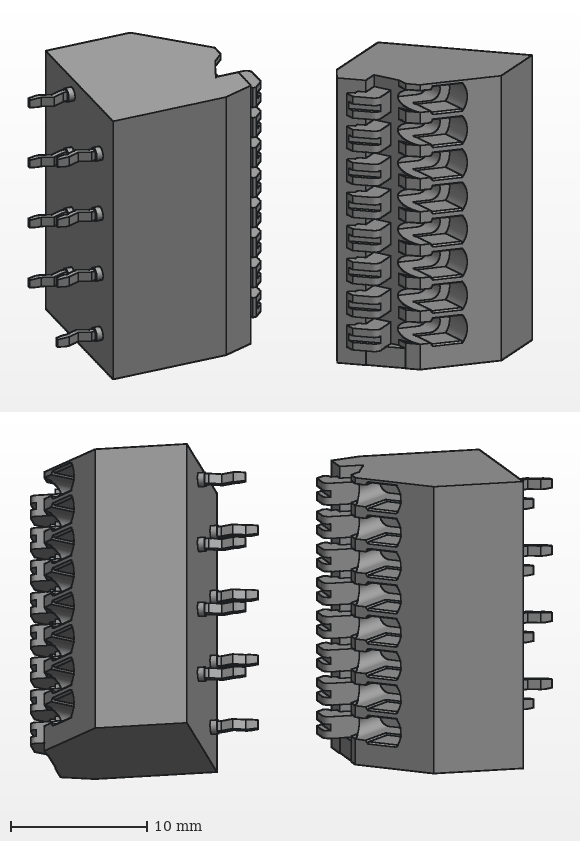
import cadquery as cq
import math

width = 12.0
height = 21.5
housing_depth = 11.5
slope_start = 6.84
slope_run = housing_depth - slope_start
back_chamfer_x = 0.88
back_chamfer_y = 2.4

pole_count = 8
end_wall = 1.5
pole_pitch = (height - end_wall) / pole_count
pole_center_drop = 1.27

channel_kink_x = 6.6
channel_kink_y = 10.66
channel_wall_x = 8.88
channel_floor_y = 9.7
channel_start_x = channel_kink_x - (housing_depth - channel_kink_y)
channel_floor_slope = (channel_kink_y - channel_floor_y) / (channel_wall_x - channel_kink_x)
end_wall_relief = 0.06

lever_front_x = 7.33
lever_back_x = 9.52
lever_top_y = 13.12
lever_thickness = 1.63
lever_drop = 0.88
lever_round = 0.5
hook_start_x = 9.33
hook_tip_x = 10.02
hook_tip_y = 12.43
hook_tip_height = 0.28
hook_root_y = 11.95
tip_slot_width = 0.5
tip_slot_depth = 0.5

entry_slot_radius = 0.82
entry_slot_depth = 5.15
entry_bore_radius = 1.6
entry_bore_depth = 3.0
entry_bore_y = 9.91
entry_bore_half_width = 0.97
entry_mouth_half_width = 1.08
entry_mouth_depth = 0.28

overall_depth = 16.6
pin_x = (4.73, 9.72)
collar_radius = 0.52
collar_height = 0.5
pin_thickness = 0.43
pin_breadth = 0.75
pin_bend_start = 0.8
pin_bend_peak = 1.7
pin_bend_end = 2.6
pin_bend_shift = 0.35
pin_taper_start = 2.9
pin_length = overall_depth - lever_top_y
pin_taper = 0.06


def extrude_between(points, z_low, z_high):
    """Prism over an XY outline between two Z levels."""
    outline = cq.Workplane("XY").workplane(offset=z_low).polyline(points).close()
    return outline.extrude(z_high - z_low)


def make_housing():
    outline = [
        (0, 0),
        (width, 0),
        (width, housing_depth - back_chamfer_y),
        (width - back_chamfer_x, housing_depth),
        (slope_run, housing_depth),
        (0, slope_start),
    ]
    return extrude_between(outline, 0, height)


def make_lever_channel():
    """Long notch for the levers, plus the slightly lowered end wall below it."""
    notch = [
        (channel_start_x, housing_depth),
        (channel_kink_x, channel_kink_y),
        (channel_wall_x, channel_floor_y),
        (channel_wall_x, housing_depth),
    ]
    relief = [
        (channel_start_x, housing_depth),
        (channel_start_x + end_wall_relief, housing_depth - end_wall_relief),
        (channel_wall_x, housing_depth - end_wall_relief),
        (channel_wall_x, housing_depth),
    ]
    channel = extrude_between(notch, end_wall, height)
    return channel.union(extrude_between(relief, 0, end_wall))


def make_wire_entry(z_center):
    """Slot opening into the lever channel, with a wide flat-sided bore at its lower end."""
    bore_center = (entry_bore_y - slope_start, entry_bore_y, z_center)
    face = cq.Plane(origin=bore_center, xDir=(1, 1, 0), normal=(-1, 1, 0))

    ridge_x = channel_kink_x - (housing_depth - channel_kink_y) / channel_floor_slope
    runout = extrude_between(
        [(ridge_x, housing_depth), (channel_kink_x, channel_kink_y), (channel_kink_x, housing_depth)],
        z_center - entry_slot_radius,
        z_center + entry_slot_radius,
    )

    slot_length = (housing_depth - entry_bore_y) * math.sqrt(2)
    clearance = entry_bore_radius
    slot = (
        cq.Workplane(face).workplane(offset=clearance)
        .center(slot_length / 2, 0)
        .slot2D(slot_length + 2 * entry_slot_radius, 2 * entry_slot_radius)
        .extrude(-entry_slot_depth - clearance)
    )

    bore = cq.Workplane(face).circle(entry_bore_radius).extrude(-entry_bore_depth)
    band = (
        cq.Workplane(face)
        .rect(2 * entry_bore_radius, 2 * entry_bore_half_width)
        .extrude(-entry_bore_depth)
    )
    across = cq.Plane(origin=bore_center, xDir=(0, 0, 1), normal=(-1, -1, 0))
    mouth = (
        cq.Workplane(across)
        .polyline([
            (-entry_mouth_half_width, 0),
            (entry_mouth_half_width, 0),
            (entry_bore_half_width, -entry_mouth_depth),
            (-entry_bore_half_width, -entry_mouth_depth),
        ])
        .close()
        .extrude(entry_bore_radius, both=True)
    )
    return slot.union(runout).union(bore.intersect(band.union(mouth)))


def make_lever(z_top):
    """Hooked lever with a screwdriver slot across its tip."""
    z_bottom = z_top - lever_thickness
    foot_y = channel_kink_y - (lever_front_x - channel_kink_x) * channel_floor_slope
    outline = [
        (lever_front_x, foot_y),
        (channel_wall_x, channel_floor_y),
        (channel_wall_x, housing_depth),
        (lever_back_x, housing_depth),
        (lever_back_x, hook_root_y),
        (hook_tip_x, hook_tip_y - hook_tip_height),
        (hook_tip_x, hook_tip_y),
        (hook_start_x, lever_top_y),
        (lever_front_x, lever_top_y),
    ]
    lever = extrude_between(outline, z_bottom, z_top)
    z_middle = z_top - lever_thickness / 2
    front_edge = cq.NearestToPointSelector((lever_front_x, lever_top_y, z_middle))
    lever = lever.edges(front_edge).fillet(lever_round)
    slot = cq.Workplane("XY").box(
        hook_tip_x - lever_front_x, tip_slot_depth, tip_slot_width, centered=(False, False, True)
    )
    return lever.cut(slot.translate((lever_front_x, lever_top_y - tip_slot_depth, z_middle)))


def make_pin(x_center, z_center, bend_direction):
    """Collar and kinked solder pin with a tapered tip, pointing along -Y."""
    plane = cq.Plane(origin=(x_center, 0, z_center), xDir=(1, 0, 0), normal=(0, -1, 0))
    collar = cq.Workplane(plane).circle(collar_radius).extrude(collar_height)

    half = pin_thickness / 2
    shift = bend_direction * pin_bend_shift
    center_line = [
        (0, 0),
        (0, -pin_bend_start),
        (shift, -pin_bend_peak),
        (0, -pin_bend_end),
        (0, -pin_taper_start),
    ]
    left_side = [(x_center + x - half, y) for x, y in center_line]
    right_side = [(x_center + x + half, y) for x, y in center_line]
    shank = extrude_between(
        left_side + right_side[::-1], z_center - pin_breadth / 2, z_center + pin_breadth / 2
    )

    tip = (
        cq.Workplane(plane).workplane(offset=pin_taper_start)
        .rect(pin_thickness, pin_breadth)
        .workplane(offset=pin_length - pin_taper_start)
        .rect(pin_thickness - 2 * pin_taper, pin_breadth - 2 * pin_taper)
        .loft()
    )
    return collar.union(shank).union(tip)


result = make_housing().cut(make_lever_channel())

pole_tops = [height - i * pole_pitch for i in range(pole_count)]

for pole_top in pole_tops:
    result = result.cut(make_wire_entry(pole_top - pole_center_drop))

for index, pole_top in enumerate(pole_tops):
    is_odd = index % 2
    result = result.union(make_lever(pole_top - lever_drop))
    bend_direction = -1 if is_odd else 1
    result = result.union(make_pin(pin_x[is_odd], pole_top - pole_center_drop, bend_direction))